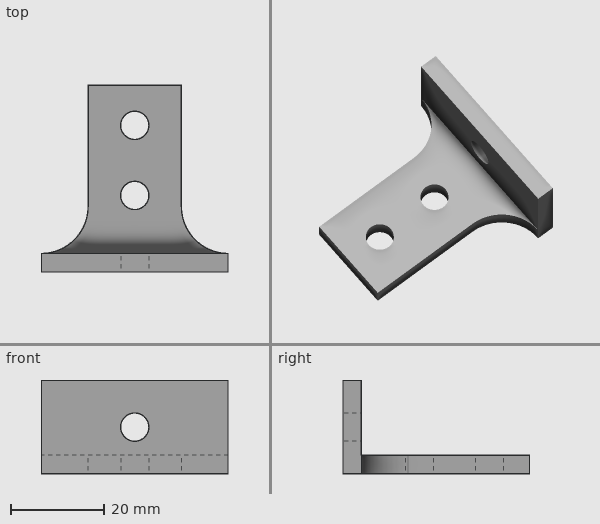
import cadquery as cq

width = 40.0
depth = 40.0
height = 20.0
thickness = 4.0

tongue_width = 20.0
flare_radius = (width - tongue_width) / 2

hole_diameter = 6.0
first_hole_from_front = 16.4
hole_pitch = 15.0


def make_wall():
    """Upright wall with its front face on Y = 0 and a central hole."""
    wall = cq.Workplane("XY").box(width, thickness, height, centered=(True, False, False))
    bore = (
        cq.Workplane("XZ")
        .center(0, height / 2)
        .circle(hole_diameter / 2)
        .extrude(-thickness)
    )
    return wall.cut(bore)


def make_tongue():
    """Flat tongue behind the wall, widening to it through quarter-circle flares."""
    half_tongue = tongue_width / 2
    flare_end = thickness + flare_radius
    tongue = cq.Workplane("XY").box(tongue_width, depth, thickness, centered=(True, False, False))
    flared_base = (
        cq.Workplane("XY")
        .box(width, flare_end, thickness, centered=(True, False, False))
    )
    flare_cutters = (
        cq.Workplane("XY")
        .pushPoints([(side * (half_tongue + flare_radius), flare_end) for side in (-1, 1)])
        .circle(flare_radius)
        .extrude(thickness)
    )
    return tongue.union(flared_base.cut(flare_cutters))


def make_tongue_bores():
    """Vertical bores through the tongue, in line on its centre plane."""
    return (
        cq.Workplane("XY")
        .pushPoints([(0, first_hole_from_front + i * hole_pitch) for i in range(2)])
        .circle(hole_diameter / 2)
        .extrude(thickness)
    )


result = make_tongue().cut(make_tongue_bores()).union(make_wall())